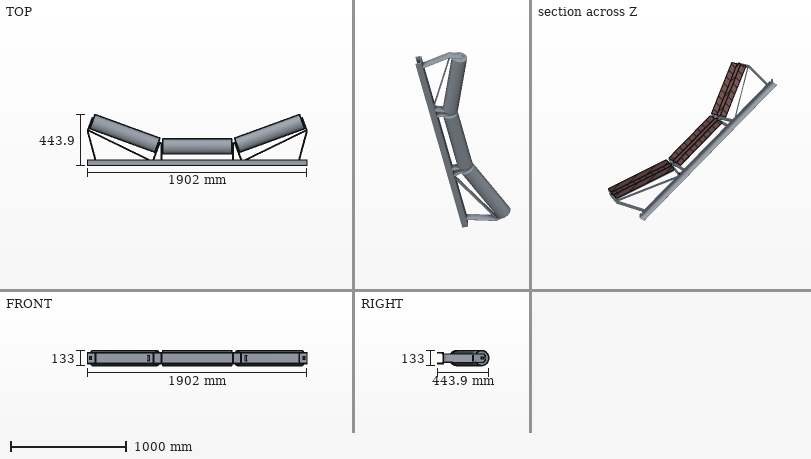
import cadquery as cq
import math


BEAM_LENGTH = 1902.0
BEAM_DEPTH = 51.0
BEAM_HEIGHT = 100.0
WEB_THICKNESS = 6.0
FLANGE_THICKNESS = 8.0
ROOT_RADIUS = 10.5

SLOT_WIDTH = 17.0
SLOT_HEIGHT = 29.0
SLOT_INSET = 27.0

ROLLER_DIAMETER = 133.0
ROLLER_LENGTH = 601.0
ROLLER_CHAMFER = 4.0
AXLE_DIAMETER = 25.0
AXLE_SQUARE = 17.0
TROUGH_ANGLE = 20.0
CENTRE_ROLLER_Y = 167.0
SIDE_ROLLER_X = 625.0
SIDE_ROLLER_Y = 280.0

BAR_WIDTH = 75.0
BAR_THICKNESS = 6.8
BAR_TOP_ABOVE_AXIS = 30.0
BAR_CORNER_CHAMFER = 19.0
ROLLER_END_GAP = 5.0

BEND_BELOW_AXIS = 87.0
BEND_OUTER_RADIUS = 14.3
LEG_LEAN_ANGLE = 15.0

BRACE_WIDTH = 48.0
BRACE_THICKNESS = 5.3
BRACE_FOOT_X = 426.0
BRACE_LENGTH = 576.0
BRACE_ANGLE = 26.0

BAR_OUTER_FACE = ROLLER_LENGTH / 2 + ROLLER_END_GAP + BAR_THICKNESS

UNTRIMMED_LENGTH = 380.0

SIDES = (-1, 1)


def place_centre(shape):
    """Move a shape built about a roller axis along X to the centre roller."""
    return shape.translate((0, CENTRE_ROLLER_Y, 0))


def place_side(shape, side):
    """Tilt and move a shape built about a roller axis along X to a side roller."""
    tilted = shape.rotate((0, 0, 0), (0, 0, 1), side * TROUGH_ANGLE)
    return tilted.translate((side * SIDE_ROLLER_X, SIDE_ROLLER_Y, 0))


def extrude_centred(sketch, length):
    """Extrude a sketch on the YZ plane so that it is centred on X = 0."""
    return sketch.extrude(length).translate((-length / 2, 0, 0))


def make_roller():
    roller = extrude_centred(cq.Workplane("YZ").circle(ROLLER_DIAMETER / 2), ROLLER_LENGTH)
    roller = roller.faces("<X or >X").edges().chamfer(ROLLER_CHAMFER)
    bore = extrude_centred(cq.Workplane("YZ").circle(AXLE_DIAMETER / 2), ROLLER_LENGTH)
    return roller.cut(bore)


def make_axle():
    shaft = extrude_centred(cq.Workplane("YZ").circle(AXLE_DIAMETER / 2), ROLLER_LENGTH)
    square_ends = extrude_centred(cq.Workplane("YZ").rect(AXLE_SQUARE, AXLE_SQUARE), 2 * BAR_OUTER_FACE)
    return shaft.union(square_ends)


def make_beam():
    beam = cq.Workplane("XY").box(BEAM_LENGTH, BEAM_DEPTH, BEAM_HEIGHT, centered=(True, False, True))
    inner_depth = BEAM_DEPTH - WEB_THICKNESS
    inner_height = BEAM_HEIGHT - 2 * FLANGE_THICKNESS
    hollow = (
        cq.Workplane("XY")
        .box(BEAM_LENGTH, inner_depth, inner_height, centered=(True, False, True))
        .edges("|X and >Y")
        .fillet(ROOT_RADIUS)
    )
    slots = (
        cq.Workplane("XZ")
        .pushPoints([(side * (BEAM_LENGTH / 2 - SLOT_INSET), 0) for side in SIDES])
        .rect(SLOT_WIDTH, SLOT_HEIGHT)
        .extrude(-BEAM_DEPTH)
    )
    return beam.cut(hollow).cut(slots)


def make_bar(side, length_below_axis):
    """Upright bar at one end of a roller."""
    length = BAR_TOP_ABOVE_AXIS + length_below_axis
    middle_x = side * (BAR_OUTER_FACE - BAR_THICKNESS / 2)
    middle_y = BAR_TOP_ABOVE_AXIS - length / 2
    return cq.Workplane("XY").box(BAR_THICKNESS, length, BAR_WIDTH).translate((middle_x, middle_y, 0))


def cut_axle_slot(bar, side):
    """Cut the slot, open at the top of the bar, in which the square axle end sits."""
    slot_depth = BAR_TOP_ABOVE_AXIS + AXLE_SQUARE / 2
    middle_x = side * (BAR_OUTER_FACE - BAR_THICKNESS / 2)
    middle_y = BAR_TOP_ABOVE_AXIS - slot_depth / 2
    slot = cq.Workplane("XY").box(BAR_THICKNESS, slot_depth, AXLE_SQUARE).translate((middle_x, middle_y, 0))
    return bar.cut(slot)


def make_inner_bar(side):
    return cut_axle_slot(make_bar(side, UNTRIMMED_LENGTH), side)


def make_inner_bridge():
    """Short strip that joins the tops of the two inner bars on the right."""
    tilt = math.radians(TROUGH_ANGLE)

    def on_centre_bar(below_top):
        return (BAR_OUTER_FACE, CENTRE_ROLLER_Y + BAR_TOP_ABOVE_AXIS - below_top)

    def on_side_bar(below_top):
        above_axis = BAR_TOP_ABOVE_AXIS - below_top
        return (
            SIDE_ROLLER_X - BAR_OUTER_FACE * math.cos(tilt) - above_axis * math.sin(tilt),
            SIDE_ROLLER_Y - BAR_OUTER_FACE * math.sin(tilt) + above_axis * math.cos(tilt),
        )

    top_edge = [on_centre_bar(0), on_side_bar(0)]
    bottom_edge = [on_side_bar(BAR_THICKNESS), on_centre_bar(BAR_THICKNESS)]
    return (
        cq.Workplane("XY")
        .polyline(top_edge + bottom_edge)
        .close()
        .extrude(BAR_WIDTH)
        .translate((0, 0, -BAR_WIDTH / 2))
    )


def make_leg():
    """Bend and leaning leg that continue the right outer bar downward."""
    bend = math.radians(TROUGH_ANGLE + LEG_LEAN_ANGLE)
    outer_radius = BEND_OUTER_RADIUS
    inner_radius = BEND_OUTER_RADIUS - BAR_THICKNESS
    centre_x = BAR_OUTER_FACE - BEND_OUTER_RADIUS

    def on_bend(radius, angle):
        return (centre_x + radius * math.cos(angle), -BEND_BELOW_AXIS - radius * math.sin(angle))

    def foot(radius):
        x, y = on_bend(radius, bend)
        return (x - UNTRIMMED_LENGTH * math.sin(bend), y - UNTRIMMED_LENGTH * math.cos(bend))

    return (
        cq.Workplane("XY")
        .moveTo(*on_bend(outer_radius, 0))
        .threePointArc(on_bend(outer_radius, bend / 2), on_bend(outer_radius, bend))
        .lineTo(*foot(outer_radius))
        .lineTo(*foot(inner_radius))
        .lineTo(*on_bend(inner_radius, bend))
        .threePointArc(on_bend(inner_radius, bend / 2), on_bend(inner_radius, 0))
        .close()
        .extrude(BAR_WIDTH)
        .translate((0, 0, -BAR_WIDTH / 2))
    )


def make_outer_bracket():
    bar = make_bar(1, BEND_BELOW_AXIS).edges("|X and >Y").chamfer(BAR_CORNER_CHAMFER)
    return cut_axle_slot(bar, 1).union(make_leg())


def make_brace():
    """Right diagonal brace; its lower end runs on into the beam and is trimmed there."""
    length = BRACE_LENGTH + BEAM_DEPTH
    return (
        cq.Workplane("XY")
        .box(length, BRACE_THICKNESS, BRACE_WIDTH, centered=(False, False, True))
        .translate((-BEAM_DEPTH, 0, 0))
        .rotate((0, 0, 0), (0, 0, 1), BRACE_ANGLE)
        .translate((BRACE_FOOT_X, BEAM_DEPTH, 0))
    )


def make_frame():
    """Beam with its brackets and braces, welded into one solid."""
    right_supports = (
        place_centre(make_inner_bar(1))
        .union(place_side(make_inner_bar(-1), 1))
        .union(make_inner_bridge())
        .union(place_side(make_outer_bracket(), 1))
        .union(make_brace())
    )
    space_above_beam = (
        cq.Workplane("XY")
        .box(BEAM_LENGTH, BEAM_LENGTH, BEAM_HEIGHT, centered=(True, False, True))
        .translate((0, BEAM_DEPTH, 0))
    )
    right_supports = right_supports.intersect(space_above_beam)
    left_supports = right_supports.mirror("YZ")
    return make_beam().union(right_supports).union(left_supports)


frame = make_frame()
centre_roller = place_centre(make_roller())
centre_axle = place_centre(make_axle())
side_rollers = [place_side(make_roller(), side) for side in SIDES]
side_axles = [place_side(make_axle(), side) for side in SIDES]

result = cq.Compound.makeCompound(
    [
        frame.val(),
        centre_roller.val(),
        *[roller.val() for roller in side_rollers],
        centre_axle.val(),
        *[axle.val() for axle in side_axles],
    ]
)